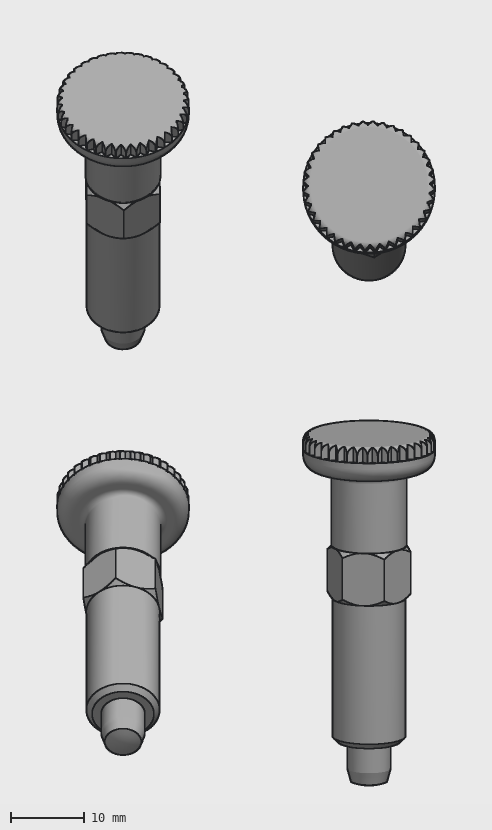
import cadquery as cq
import math

total_height = 49.0
pin_nose_start = 2.25
pin_rim_height = 0.5
sleeve_bottom = 6.0
hex_bottom = 26.05
hex_top = 33.4
knob_height = 5.0
knurl_height = 2.1

pin_diameter = 6.0
pin_rim_diameter = 5.0
sleeve_diameter = 10.0
hex_across_flats = 10.0
neck_diameter = 10.3
knob_diameter = 18.0

sleeve_chamfer = 0.8
hex_chamfer_angle = 45.0
knob_top_round = 1.0
knob_under_round = 2.0
neck_fillet = 0.9

notch_count = 40
notch_depth = 0.7
notch_angle = 90.0

pin_radius = pin_diameter / 2
pin_rim_radius = pin_rim_diameter / 2
sleeve_radius = sleeve_diameter / 2
neck_radius = neck_diameter / 2
knob_radius = knob_diameter / 2
knob_underside = total_height - knob_height


def make_sleeve_and_pin():
    """Turned sleeve with its narrower, domed pin."""
    dome_radius = (pin_rim_radius**2 + pin_rim_height**2) / (2 * pin_rim_height)
    half_angle = math.asin(pin_rim_radius / dome_radius) / 2
    dome_middle = (
        dome_radius * math.sin(half_angle),
        dome_radius * (1 - math.cos(half_angle)),
    )
    return (
        cq.Workplane("XZ")
        .moveTo(0, 0)
        .threePointArc(dome_middle, (pin_rim_radius, pin_rim_height))
        .lineTo(pin_radius, pin_nose_start)
        .lineTo(pin_radius, sleeve_bottom)
        .lineTo(sleeve_radius - sleeve_chamfer, sleeve_bottom)
        .lineTo(sleeve_radius, sleeve_bottom + sleeve_chamfer)
        .lineTo(sleeve_radius, hex_bottom)
        .lineTo(0, hex_bottom)
        .close()
        .revolve(360, (0, 0), (0, 1))
    )


def make_hexagon():
    """Hexagon with flats facing -Y and +Y and corners chamfered at both ends."""
    height = hex_top - hex_bottom
    corner_radius = hex_across_flats / math.sqrt(3)
    flat_radius = hex_across_flats / 2
    chamfer_drop = (corner_radius - flat_radius) * math.tan(math.radians(hex_chamfer_angle))
    prism = (
        cq.Workplane("XY")
        .workplane(offset=hex_bottom)
        .polygon(6, 2 * corner_radius)
        .extrude(height)
    )
    envelope = (
        cq.Workplane("XZ")
        .moveTo(0, hex_bottom)
        .lineTo(flat_radius, hex_bottom)
        .lineTo(corner_radius, hex_bottom + chamfer_drop)
        .lineTo(corner_radius, hex_top - chamfer_drop)
        .lineTo(flat_radius, hex_top)
        .lineTo(0, hex_top)
        .close()
        .revolve(360, (0, 0), (0, 1))
    )
    return prism.intersect(envelope)


def make_plunger_body():
    """Pin, sleeve and hexagon in one piece."""
    return make_sleeve_and_pin().union(make_hexagon())


def point_on_circle(center, radius, angle):
    """Point at the given angle in degrees around a circle."""
    radians = math.radians(angle)
    return (center[0] + radius * math.cos(radians), center[1] + radius * math.sin(radians))


def make_knob_blank():
    """Turned knob head with its neck, before knurling."""
    fillet_center = (neck_radius + neck_fillet, knob_underside - neck_fillet)
    under_center = (knob_radius - knob_under_round, knob_underside + knob_under_round)
    top_center = (knob_radius - knob_top_round, total_height - knob_top_round)
    return (
        cq.Workplane("XZ")
        .moveTo(0, hex_top)
        .lineTo(neck_radius, hex_top)
        .lineTo(neck_radius, fillet_center[1])
        .threePointArc(
            point_on_circle(fillet_center, neck_fillet, 135),
            (fillet_center[0], knob_underside),
        )
        .lineTo(under_center[0], knob_underside)
        .threePointArc(
            point_on_circle(under_center, knob_under_round, -45),
            (knob_radius, under_center[1]),
        )
        .lineTo(knob_radius, top_center[1])
        .threePointArc(
            point_on_circle(top_center, knob_top_round, 45),
            (top_center[0], total_height),
        )
        .lineTo(0, total_height)
        .close()
        .revolve(360, (0, 0), (0, 1))
    )


def make_knurl_notches():
    """V-shaped cutters around the upper rim of the knob."""
    overshoot = 0.5
    half_width = (notch_depth + overshoot) * math.tan(math.radians(notch_angle / 2))
    notch = (
        cq.Workplane("XY")
        .workplane(offset=total_height - knurl_height)
        .moveTo(knob_radius - notch_depth, 0)
        .lineTo(knob_radius + overshoot, -half_width)
        .lineTo(knob_radius + overshoot, half_width)
        .close()
        .extrude(knurl_height)
        .val()
    )
    pitch_angle = 360 / notch_count
    return [notch.rotate((0, 0, 0), (0, 0, 1), i * pitch_angle) for i in range(notch_count)]


def make_knob():
    """Knurled pull knob that rests on the hexagon."""
    blank = make_knob_blank().val()
    return cq.Workplane(blank.cut(*make_knurl_notches()))


plunger_body = make_plunger_body()
knob = make_knob()

result = cq.Compound.makeCompound([plunger_body.val(), knob.val()])